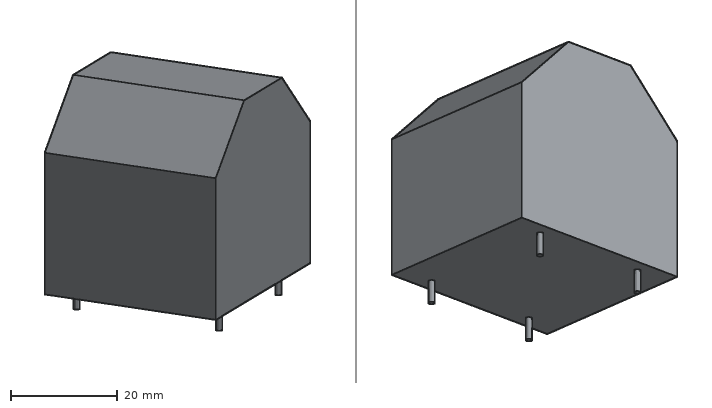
import cadquery as cq

housing_length = 36.0
housing_width = 40.0
total_height = 44.5
pin_length = 4.5
housing_height = total_height - pin_length
top_chamfer = 12.0

pin_diameter = 1.2
pin_spacing_x = 30.0
pin_spacing_y = 25.0


def make_housing():
    """Block standing on Z = 0, with chamfered top edges running along X."""
    block = cq.Workplane("XY").box(
        housing_length, housing_width, housing_height, centered=(True, True, False)
    )
    return block.faces(">Z").edges("|X").chamfer(top_chamfer)


def make_pin(x, y):
    """Round pin hanging from the underside of the housing."""
    return cq.Workplane("XY").center(x, y).circle(pin_diameter / 2).extrude(-pin_length)


housing = make_housing()

pins = []
for x in (-pin_spacing_x / 2, pin_spacing_x / 2):
    for y in (-pin_spacing_y / 2, pin_spacing_y / 2):
        pins.append(make_pin(x, y).val())

result = cq.Compound.makeCompound([housing.val(), *pins])